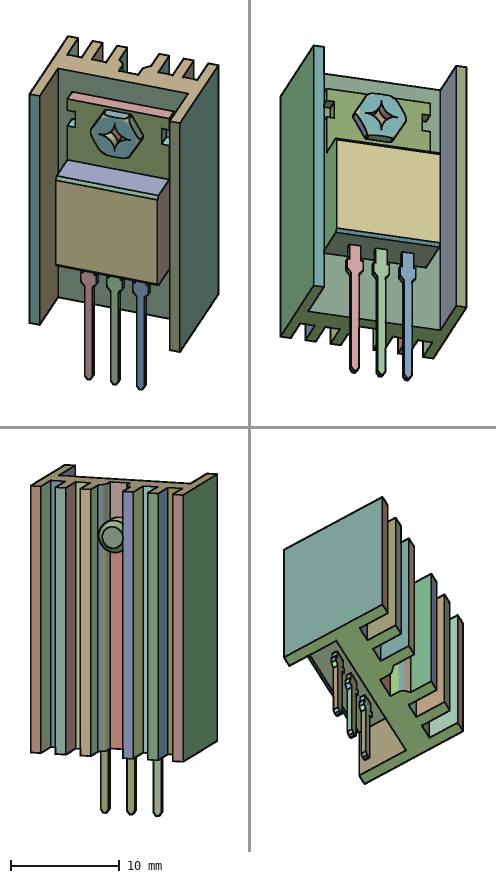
import cadquery as cq
import math


sink_width = 14.7
sink_height = 25.0
wall_thickness = 2.5
fin_thickness = 1.0
fin_pitch = 2.4
fin_length = 3.0
fins_per_side = 3
flange_length = 5.0
fin_tip_y = wall_thickness + fin_length

channel_half_mouth = sink_width / 2 - (fins_per_side - 1) * fin_pitch - fin_thickness
channel_half_width = 0.95
channel_floor_y = 1.5
channel_mouth_y = 3.3
channel_corner_radius = 0.8
channel_bevel = channel_half_mouth - channel_half_width

package_width = 9.95
tab_thickness = 1.3
tab_top_z = 22.75
notch_depth = 0.75
notch_bottom_z = 19.8
notch_top_z = 21.5
case_depth = 4.5
case_bottom_z = 6.3
case_top_z = 16.1
case_bevel = 0.3

lead_pitch = 2.54
lead_thickness = 0.5
lead_back_y = -1.83
lead_root_width = 1.1
lead_shoulder_width = 1.5
lead_width = 0.75
lead_tip_width = 0.25
shoulder_top_z = 4.8
shoulder_bottom_z = 3.8
taper_end_z = 3.35
tip_start_z = -6.4
lead_end_z = -6.75

screw_diameter = 3.0
screw_z = 20.25
screw_end_y = 3.7
screw_end_chamfer = 0.5
head_corner_diameter = 5.0
head_height = 1.0
head_rim_diameter = 4.9
head_rim_radius = 0.35
recess_reach = 1.5
recess_depth = 1.0
head_face_y = -tab_thickness - head_height


def block(x_min, x_max, y_min, y_max, z_min, z_max):
    """Box given by its limits."""
    size = (x_max - x_min, y_max - y_min, z_max - z_min)
    return cq.Workplane("XY").box(*size, centered=False).translate((x_min, y_min, z_min))


def y_plane(y):
    """Sketch plane facing -Y, with local X along X and local Y along Z."""
    return cq.Workplane("XZ", origin=(0, y, 0))


def screw_clearance():
    """Cylinder that the screw shank fills."""
    length = screw_end_y + tab_thickness
    return y_plane(screw_end_y).center(0, screw_z).circle(screw_diameter / 2).extrude(length)


def make_heat_sink():
    """Finned wall with two front flanges and a bevelled screw channel along its back."""
    half_width = sink_width / 2
    sink = block(-half_width, half_width, 0, wall_thickness, 0, sink_height)
    inner_fin_x = half_width - (fins_per_side - 1) * fin_pitch
    sink = sink.union(block(-inner_fin_x, inner_fin_x, 0, channel_mouth_y, 0, sink_height))
    for side in (-1, 1):
        for index in range(fins_per_side):
            outer_x = side * (half_width - index * fin_pitch)
            inner_x = outer_x - side * fin_thickness
            front_y = -flange_length if index == 0 else 0
            fin = block(min(outer_x, inner_x), max(outer_x, inner_x), front_y, fin_tip_y, 0, sink_height)
            sink = sink.union(fin)
    channel = (
        cq.Workplane("XY")
        .moveTo(-channel_half_mouth, channel_mouth_y)
        .lineTo(-channel_half_width, channel_mouth_y - channel_bevel)
        .lineTo(-channel_half_width, channel_floor_y)
        .lineTo(channel_half_width, channel_floor_y)
        .lineTo(channel_half_width, channel_mouth_y - channel_bevel)
        .lineTo(channel_half_mouth, channel_mouth_y)
        .close()
        .extrude(sink_height)
    )
    bevel_foot_y = channel_mouth_y - channel_bevel
    for x in (-channel_half_width, channel_half_width):
        foot_edge = cq.selectors.NearestToPointSelector((x, bevel_foot_y, sink_height / 2))
        channel = channel.edges("|Z").edges(foot_edge).fillet(channel_corner_radius)
    return sink.cut(channel).cut(screw_clearance())


def make_lead(x):
    """Flat lead with a wide shoulder near its root and a tapered tip."""
    half_outline = [
        (lead_root_width / 2, case_bottom_z),
        (lead_root_width / 2, shoulder_top_z),
        (lead_shoulder_width / 2, shoulder_top_z),
        (lead_shoulder_width / 2, shoulder_bottom_z),
        (lead_width / 2, taper_end_z),
        (lead_width / 2, tip_start_z),
        (lead_tip_width / 2, lead_end_z),
    ]
    outline = half_outline + [(-px, pz) for px, pz in reversed(half_outline)]
    return y_plane(lead_back_y).polyline(outline).close().extrude(lead_thickness).translate((x, 0, 0))


def make_package():
    """Mounting tab and moulded case, with the middle lead as part of the same body."""
    half_width = package_width / 2
    tab = block(-half_width, half_width, -tab_thickness, 0, case_bottom_z, tab_top_z)
    for inner_x, outer_x in ((-half_width, notch_depth - half_width), (half_width - notch_depth, half_width)):
        tab = tab.cut(block(inner_x, outer_x, -tab_thickness, 0, notch_bottom_z, notch_top_z))
    bevel_start_y = case_bevel - case_depth
    case = (
        cq.Workplane("YZ", origin=(-half_width, 0, 0))
        .moveTo(0, case_bottom_z)
        .lineTo(bevel_start_y, case_bottom_z)
        .lineTo(-case_depth, case_bottom_z + case_bevel)
        .lineTo(-case_depth, case_top_z - case_bevel)
        .lineTo(bevel_start_y, case_top_z)
        .lineTo(0, case_top_z)
        .close()
        .extrude(package_width)
    )
    return tab.union(case).cut(screw_clearance()).union(make_lead(0))


def make_recess():
    """Four-pointed driver recess bounded by four concave quarter circles."""
    mid = recess_reach * (1 - math.sqrt(0.5))
    return (
        y_plane(head_face_y + recess_depth)
        .center(0, screw_z)
        .moveTo(recess_reach, 0)
        .threePointArc((mid, mid), (0, recess_reach))
        .threePointArc((-mid, mid), (-recess_reach, 0))
        .threePointArc((-mid, -mid), (0, -recess_reach))
        .threePointArc((mid, -mid), (recess_reach, 0))
        .close()
        .extrude(recess_depth)
    )


def make_screw():
    """Hexagonal screw with a rounded head rim and a chamfered end."""
    head = y_plane(-tab_thickness).center(0, screw_z).polygon(6, head_corner_diameter).extrude(head_height)
    head_envelope = (
        y_plane(-tab_thickness)
        .center(0, screw_z)
        .circle(head_rim_diameter / 2)
        .extrude(head_height)
        .faces("<Y")
        .fillet(head_rim_radius)
    )
    shank = screw_clearance().faces(">Y").chamfer(screw_end_chamfer)
    return head.intersect(head_envelope).union(shank).cut(make_recess())


heat_sink = make_heat_sink()
package = make_package()
screw = make_screw()
outer_leads = [make_lead(side * lead_pitch) for side in (-1, 1)]

result = cq.Compound.makeCompound(
    [heat_sink.val(), package.val(), screw.val(), *[lead.val() for lead in outer_leads]]
)